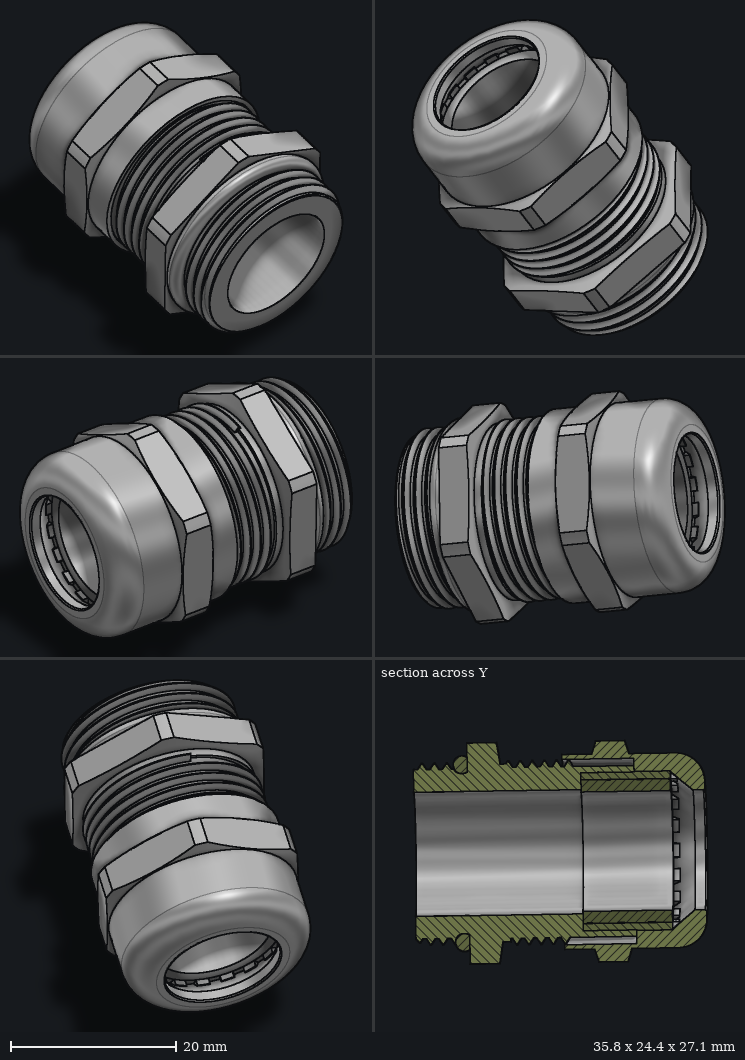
import cadquery as cq
import math


GLAND_LENGTH = 35.32
TILT_DOWN = 0.9
TILT_SIDE = 1.3

HEX_FLATS = 24.0
HEX_CORNER_DIA = 26.83

CAP_DIA = 23.7
CAP_LENGTH = 17.3
DOME_RADIUS = 3.47
CAP_HEX_START = 9.15
CAP_HEX_END = 13.7
CAP_HEX_CHAMFER = 0.5
MOUTH_DIA = 14.8
LAND_DIA = 14.5
MOUTH_CHAMFER_DEPTH = 0.2
LAND_END = 1.47
THREAD_CLEARANCE = 0.07

SEAL_START = 4.15
SEAL_END = 15.05
SEAL_DIA = 17.37
SEAL_BORE = 14.45
CAGE_DIA = 19.25
CAGE_TIP = 3.35
CONE_HALF_ANGLE = 40.0
FINGER_COUNT = 18
SLOT_WIDTH = 1.45

BODY_START = 8.6
BODY_BORE = 15.0
FRONT_CORE_DIA = 20.78
COLLAR_START = 23.8
COLLAR_DIA = 21.65
BODY_HEX_START = 24.75
BODY_HEX_END = 28.8
BODY_HEX_CHAMFER = 0.412
REAR_CORE_DIA = 20.55

FRONT_CREST_DIA = 22.35
FRONT_PITCH = 1.47
FRONT_THREAD_START = 15.72
FRONT_THREAD_END = 23.85
REAR_CREST_DIA = 22.05
REAR_PITCH = 1.5
REAR_THREAD_START = 30.5
RIB_BASE = 1.1
RIB_CREST = 0.1
RIB_ROOT_DEPTH = 0.1
SEAM_ANGLE = 37.0
TRIM_MARGIN = 0.18

RING_SECTION_RADIUS = 1.07
RING_CENTER_DIA = 21.65
RING_CENTER = 29.4

CONE_SLOPE = math.tan(math.radians(CONE_HALF_ANGLE))
CONE_END = LAND_END + (CAGE_DIA - LAND_DIA) / 2 / CONE_SLOPE


def cylinder(diameter, start, end):
    """Cylinder on the gland axis, its seam line turned away from where the thread ribs begin."""
    rod = cq.Workplane("XY").workplane(offset=start).circle(diameter / 2).extrude(end - start)
    return rod.rotate((0, 0, 0), (0, 0, 1), SEAM_ANGLE)


def revolve_profile(points):
    """Turn a closed (radius, height) outline about the gland axis."""
    return cq.Workplane("XZ").polyline(points).close().revolve(360, (0, 0), (0, 1))


def chamfered_hexagon(start, end, face_dia, front_chamfer, back_chamfer):
    """Hexagon with turned corners and a cone on each chamfered end that starts at face_dia."""
    corner_to_corner = HEX_FLATS / math.cos(math.radians(30))
    prism = cq.Workplane("XY").workplane(offset=start).polygon(6, corner_to_corner).extrude(end - start)
    corner_radius = HEX_CORNER_DIA / 2
    back_radius = face_dia / 2 if back_chamfer else corner_radius
    outline = [(0, start), (face_dia / 2, start), (corner_radius, start + front_chamfer)]
    if back_chamfer:
        outline.append((corner_radius, end - back_chamfer))
    outline += [(back_radius, end), (0, end)]
    envelope = revolve_profile(outline)
    return prism.intersect(envelope)


def thread_rib(core_dia, crest_dia, pitch, start, end):
    """Right-hand thread rib wound on a core, rooted slightly below its surface."""
    core_radius = core_dia / 2
    crest_radius = crest_dia / 2
    root_radius = core_radius - RIB_ROOT_DEPTH
    flank = (RIB_BASE - RIB_CREST) / 2 / (crest_radius - core_radius)
    root_half = RIB_BASE / 2 + RIB_ROOT_DEPTH * flank
    section = [
        (root_radius, start - root_half),
        (crest_radius, start - RIB_CREST / 2),
        (crest_radius, start + RIB_CREST / 2),
        (root_radius, start + root_half),
    ]
    path = cq.Wire.makeHelix(pitch, end - start, core_radius, center=cq.Vector(0, 0, start))
    return cq.Workplane("XZ").polyline(section).close().sweep(cq.Workplane(path), isFrenet=True)


def make_cap():
    shell = cylinder(CAP_DIA, 0, CAP_LENGTH).faces("<Z").edges().fillet(DOME_RADIUS)
    cap = shell.union(chamfered_hexagon(CAP_HEX_START, CAP_HEX_END, CAP_DIA, CAP_HEX_CHAMFER, CAP_HEX_CHAMFER))
    thread_bore = FRONT_CREST_DIA + THREAD_CLEARANCE
    cavity = revolve_profile([
        (0, 0),
        (MOUTH_DIA / 2, 0),
        (LAND_DIA / 2, MOUTH_CHAMFER_DEPTH),
        (LAND_DIA / 2, LAND_END),
        (CAGE_DIA / 2, CONE_END),
        (CAGE_DIA / 2, BODY_START),
        (thread_bore / 2, BODY_START),
        (thread_bore / 2, CAP_LENGTH),
        (0, CAP_LENGTH),
    ])
    return cap.cut(cavity)


def make_cage():
    tip_radius = LAND_DIA / 2 + (CAGE_TIP - LAND_END) * CONE_SLOPE
    cage = revolve_profile([
        (SEAL_DIA / 2, CAGE_TIP),
        (tip_radius, CAGE_TIP),
        (CAGE_DIA / 2, CONE_END),
        (CAGE_DIA / 2, SEAL_END),
        (SEAL_DIA / 2, SEAL_END),
    ])
    slot = cq.Workplane("XY").box(CAGE_DIA, SLOT_WIDTH, SEAL_START, centered=(False, True, False))
    for index in range(FINGER_COUNT):
        cage = cage.cut(slot.rotate((0, 0, 0), (0, 0, 1), index * 360 / FINGER_COUNT))
    return cage


def make_seal():
    return cylinder(SEAL_DIA, SEAL_START, SEAL_END).cut(cylinder(SEAL_BORE, SEAL_START, SEAL_END))


def make_ring():
    tube = (cq.Workplane("XZ").center(RING_CENTER_DIA / 2, RING_CENTER).circle(RING_SECTION_RADIUS)
            .revolve(360, (-RING_CENTER_DIA / 2, 0), (-RING_CENTER_DIA / 2, 1)))
    return tube.cut(cylinder(HEX_CORNER_DIA, BODY_HEX_START, BODY_HEX_END))


def make_front_stem():
    """Threaded stem for the cap, ending in a plain collar at the body hexagon."""
    core = cylinder(FRONT_CORE_DIA, BODY_START, BODY_HEX_START)
    rib = thread_rib(FRONT_CORE_DIA, FRONT_CREST_DIA, FRONT_PITCH, FRONT_THREAD_START, FRONT_THREAD_END)
    collar = cylinder(COLLAR_DIA, COLLAR_START, BODY_HEX_START)
    return core.union(rib).union(collar)


def make_rear_stem():
    """Threaded stem behind the hexagon, built too long and trimmed by a 45 degree lead-in."""
    long_end = GLAND_LENGTH + REAR_PITCH
    core = cylinder(REAR_CORE_DIA, BODY_HEX_END, long_end + REAR_PITCH)
    rib = thread_rib(REAR_CORE_DIA, REAR_CREST_DIA, REAR_PITCH, REAR_THREAD_START, long_end)
    envelope_radius = REAR_CREST_DIA / 2 + TRIM_MARGIN
    lead_in = envelope_radius - REAR_CORE_DIA / 2
    envelope = revolve_profile([
        (0, BODY_HEX_END),
        (envelope_radius, BODY_HEX_END),
        (envelope_radius, GLAND_LENGTH - lead_in),
        (REAR_CORE_DIA / 2, GLAND_LENGTH),
        (0, GLAND_LENGTH),
    ])
    return core.union(rib).intersect(envelope)


def make_body(ring):
    hexagon = chamfered_hexagon(BODY_HEX_START, BODY_HEX_END, COLLAR_DIA, BODY_HEX_CHAMFER, 0)
    body = make_front_stem().union(hexagon).union(make_rear_stem().cut(ring))
    body = body.cut(cylinder(CAGE_DIA, BODY_START, SEAL_END))
    return body.cut(cylinder(BODY_BORE, SEAL_END, GLAND_LENGTH))


def place(body):
    """Center the gland on the origin and turn its axis from Z to the tilted X direction."""
    centered = body.translate((0, 0, -GLAND_LENGTH / 2))
    tilted = centered.rotate((0, 0, 0), (0, 1, 0), 90 + TILT_DOWN)
    return tilted.rotate((0, 0, 0), (0, 0, 1), -TILT_SIDE)


o_ring = make_ring()
bodies = [make_cap(), make_cage(), make_seal(), make_body(o_ring), o_ring]
result = cq.Compound.makeCompound([place(body).val() for body in bodies])